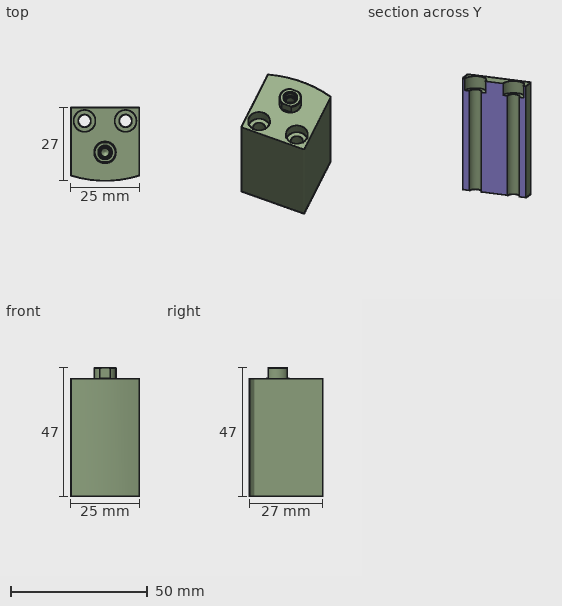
import cadquery as cq
import math

width = 25.0
depth = 26.95
side_depth = 25.0
housing_height = 43.0
corner_radius = 0.38
half_width = width / 2
back_y = depth / 2
front_y = back_y - depth
side_front_y = back_y - side_depth

mount_spacing = 15.0
mount_from_back = 5.0
mount_diameter = 4.5
counterbore_diameter = 8.0
counterbore_depth = 4.5

total_height = 47.0
rod_y = back_y - 16.5
rod_diameter = 8.0
rod_insertion = 10.0
rod_bottom_z = housing_height - rod_insertion
rod_chamfer = 0.25
flats_width = 7.0
flats_bottom_z = housing_height + 0.2

mouth_diameter = 5.15
socket_diameter = 4.3
socket_depth = 2.05
drill_diameter = 3.25
drill_depth = 5.65
drill_point_angle = 118.0


def cylinder(diameter, bottom_z, top_z, x=0.0, y=0.0):
    return (
        cq.Workplane("XY", origin=(x, y, bottom_z))
        .circle(diameter / 2)
        .extrude(top_z - bottom_z)
    )


def make_housing():
    block = (
        cq.Workplane("XY")
        .moveTo(-half_width, back_y)
        .lineTo(half_width, back_y)
        .lineTo(half_width, side_front_y)
        .threePointArc((0, front_y), (-half_width, side_front_y))
        .close()
        .extrude(housing_height)
        .edges("|Z")
        .fillet(corner_radius)
    )
    counterbore_floor_z = housing_height - counterbore_depth
    mount_y = back_y - mount_from_back
    for side in (-1, 1):
        mount_x = side * mount_spacing / 2
        block = block.cut(cylinder(mount_diameter, 0, housing_height, mount_x, mount_y))
        block = block.cut(
            cylinder(counterbore_diameter, counterbore_floor_z, housing_height, mount_x, mount_y)
        )
    return block.cut(cylinder(rod_diameter, rod_bottom_z, housing_height, y=rod_y))


def make_rod_hole():
    """Revolved cutter: countersunk mouth, socket, conical step, drill and conical drill point."""
    mouth_radius = mouth_diameter / 2
    socket_radius = socket_diameter / 2
    drill_radius = drill_diameter / 2
    mouth_depth = mouth_radius - socket_radius
    point_slope = math.tan(math.radians(drill_point_angle / 2))
    step_length = (socket_radius - drill_radius) / point_slope
    point_length = drill_radius / point_slope
    return (
        cq.Workplane("XZ", origin=(0, rod_y, total_height))
        .polyline([
            (0, 0),
            (mouth_radius, 0),
            (socket_radius, -mouth_depth),
            (socket_radius, -socket_depth),
            (drill_radius, -socket_depth - step_length),
            (drill_radius, -drill_depth),
            (0, -drill_depth - point_length),
        ])
        .close()
        .revolve(360, (0, 0, 0), (0, 1, 0))
    )


def make_rod():
    shaft = cylinder(rod_diameter, rod_bottom_z, total_height, y=rod_y)
    shaft = shaft.faces(">Z").edges().chamfer(rod_chamfer)
    flats_height = total_height - flats_bottom_z
    flat_depth = (rod_diameter - flats_width) / 2
    for side in (-1, 1):
        flat_y = rod_y + side * (flats_width + flat_depth) / 2
        flat_cutter = (
            cq.Workplane("XY", origin=(0, flat_y, flats_bottom_z))
            .rect(rod_diameter, flat_depth)
            .extrude(flats_height)
        )
        shaft = shaft.cut(flat_cutter)
    return shaft.cut(make_rod_hole())


housing = make_housing()
rod = make_rod()
result = cq.Compound.makeCompound([housing.val(), rod.val()])